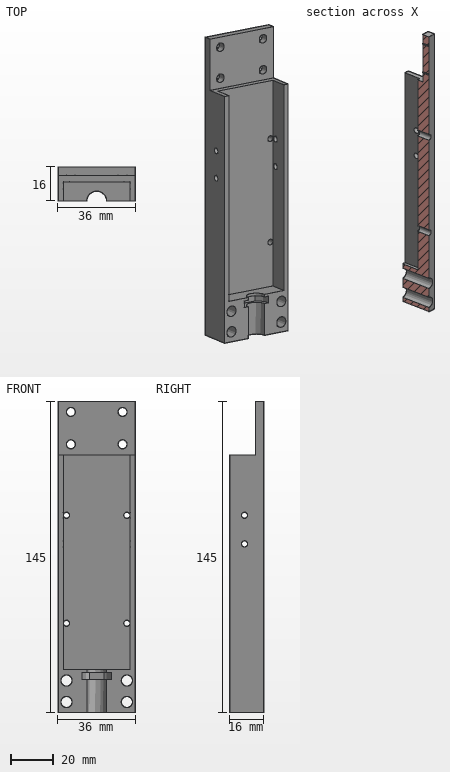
import cadquery as cq

WIDTH = 36.0
DEPTH = 16.0
HEIGHT = 145.0
BODY_HEIGHT = 120.0
FLANGE_THICKNESS = 3.9

SIDE_WALL = 2.5
FLOOR_THICKNESS = 7.0
CAVITY_BOTTOM = 20.0

CHANNEL_DIAMETER = 9.1
COLLAR_DIAMETER = 13.6
COLLAR_BOTTOM = 15.5
COLLAR_TOP = 18.7
COLLAR_DEPTH = 6.0

FLANGE_HOLE_DIAMETER = 4.0
FLANGE_HOLE_X = 12.0
FLANGE_HOLE_LEVELS = (125.0, 140.0)
BASE_HOLE_DIAMETER = 5.1
BASE_HOLE_X = 14.0
BASE_HOLE_LEVELS = (5.0, 15.0)

SCREW_HOLE_DIAMETER = 2.8
FLOOR_HOLE_LEVELS = (41.6, 92.0)
SIDE_HOLE_LEVELS = (78.6, 92.0)
SIDE_HOLE_FROM_BACK = 9.0


def block(width, front, back, bottom, top):
    """Box centred in X, between the given Y and Z limits."""
    return (
        cq.Workplane("XY")
        .box(width, back - front, top - bottom, centered=(True, False, False))
        .translate((0, front, bottom))
    )


def front_cylinder(diameter, bottom, top):
    """Upright cylinder whose axis lies in the front face."""
    return (
        cq.Workplane("XY", origin=(0, -DEPTH, bottom))
        .circle(diameter / 2)
        .extrude(top - bottom)
    )


def holes_along_y(diameter, half_spacing, levels):
    """Symmetric pairs of holes through the full depth."""
    centres = [(x, z) for x in (-half_spacing, half_spacing) for z in levels]
    return cq.Workplane("XZ").pushPoints(centres).circle(diameter / 2).extrude(DEPTH)


def side_holes():
    """Holes across the full width, through both side walls."""
    centres = [(-SIDE_HOLE_FROM_BACK, z) for z in SIDE_HOLE_LEVELS]
    return (
        cq.Workplane("YZ")
        .pushPoints(centres)
        .circle(SCREW_HOLE_DIAMETER / 2)
        .extrude(WIDTH / 2, both=True)
    )


def collar_groove():
    """Round groove with its deepest part cut off by a flat."""
    envelope = block(COLLAR_DIAMETER, -DEPTH, COLLAR_DEPTH - DEPTH, COLLAR_BOTTOM, COLLAR_TOP)
    return front_cylinder(COLLAR_DIAMETER, COLLAR_BOTTOM, COLLAR_TOP).intersect(envelope)


body = block(WIDTH, -DEPTH, 0, 0, BODY_HEIGHT)
flange = block(WIDTH, -FLANGE_THICKNESS, 0, 0, HEIGHT)
cavity = block(WIDTH - 2 * SIDE_WALL, -DEPTH, -FLOOR_THICKNESS, CAVITY_BOTTOM, BODY_HEIGHT)

result = (
    body.union(flange)
    .cut(cavity)
    .cut(front_cylinder(CHANNEL_DIAMETER, 0, CAVITY_BOTTOM))
    .cut(collar_groove())
    .cut(holes_along_y(FLANGE_HOLE_DIAMETER, FLANGE_HOLE_X, FLANGE_HOLE_LEVELS))
    .cut(holes_along_y(BASE_HOLE_DIAMETER, BASE_HOLE_X, BASE_HOLE_LEVELS))
    .cut(holes_along_y(SCREW_HOLE_DIAMETER, BASE_HOLE_X, FLOOR_HOLE_LEVELS))
    .cut(side_holes())
)